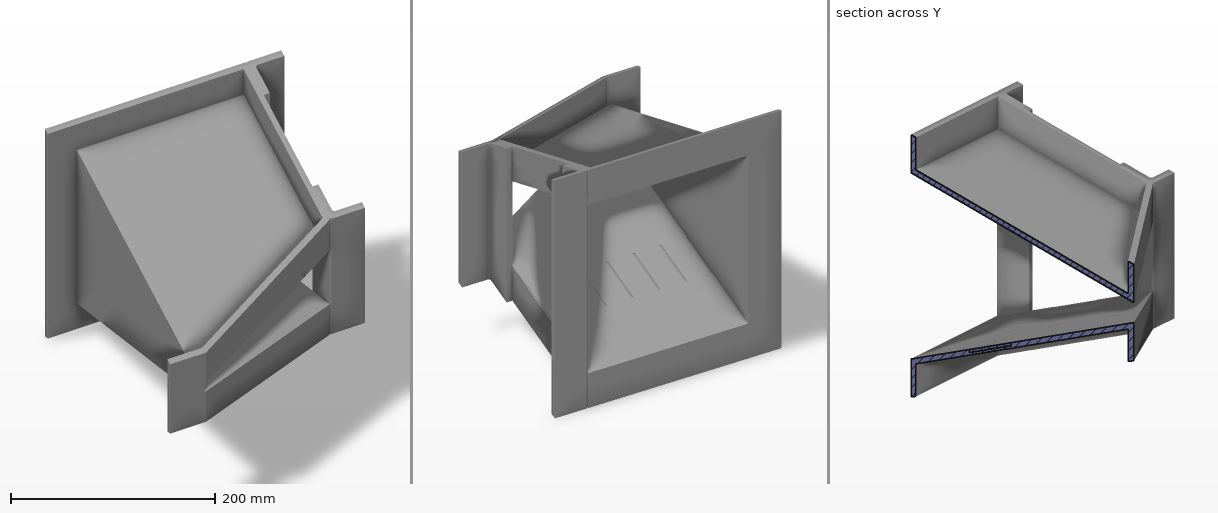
import cadquery as cq
import math

LENGTH = 274.3
WIDTH = 259.0
INLET_HEIGHT = 272.5
OUTLET_HEIGHT = 90.8
SLOPE = (INLET_HEIGHT - OUTLET_HEIGHT) / 2 / LENGTH

SHEET = 6.0
SHEET_RISE = SHEET * math.hypot(1, SLOPE)

ANGLE_LEG = 38.5
BACK_Y = WIDTH - ANGLE_LEG
BACK_INNER_Y = BACK_Y - SHEET
BACK_LENGTH = 183.2
FRONT_Y = 31.8
FRONT_INNER_Y = FRONT_Y + SHEET
BEND_Y = 39.5

INLET_HALF_OPENING = 96.3

ANGLE_SHEET = 6.5
ANGLE_FILLET = 2.5

RIFFLE_START = 68.3
RIFFLE_END = 117.0
RIFFLE_DEPTH = SHEET_RISE / 2
RIFFLE_PADS = 6
GROOVE_WIDTH = 2.5
GROOVE_DEPTH = 0.8


def wedge(half_height, y_start, y_end):
    """Wedge-shaped block over the full length whose half height at X = 0 is given."""
    end_height = half_height - SLOPE * LENGTH
    profile = [
        (0, -half_height),
        (LENGTH, -end_height),
        (LENGTH, end_height),
        (0, half_height),
    ]
    return cq.Workplane("XZ", origin=(0, y_start, 0)).polyline(profile).close().extrude(y_start - y_end)


def upright(points):
    """Vertical prism on a plan outline, tall enough for the whole part."""
    return cq.Workplane("XY").polyline(points).close().extrude(INLET_HEIGHT / 2, both=True)


def envelope():
    return wedge(INLET_HEIGHT / 2, 0, WIDTH)


def floor_slab(x_start, x_end, y_start, y_end, depth):
    """Slab directly below the sloping floor surface."""
    top_start = SLOPE * x_start - INLET_HALF_OPENING
    top_end = SLOPE * x_end - INLET_HALF_OPENING
    profile = [
        (x_start, top_start),
        (x_end, top_end),
        (x_end, top_end - depth),
        (x_start, top_start - depth),
    ]
    return cq.Workplane("XZ", origin=(0, y_start, 0)).polyline(profile).close().extrude(y_start - y_end)


def riffle_blank():
    return floor_slab(RIFFLE_START, RIFFLE_END, FRONT_INNER_Y, BACK_Y, RIFFLE_DEPTH)


def make_chute():
    slant_x = LENGTH - BACK_LENGTH
    slant_y = BACK_Y - BEND_Y
    slant_length = math.hypot(slant_x, slant_y)
    inner_corner_x = BACK_LENGTH - SHEET * (slant_length - slant_x) / slant_y
    inner_bend_y = BEND_Y - SHEET * (slant_length - slant_y) / slant_x

    walls = upright([
        (0, 0),
        (SHEET, 0),
        (SHEET, BACK_INNER_Y),
        (inner_corner_x, BACK_INNER_Y),
        (LENGTH - SHEET, inner_bend_y),
        (LENGTH - SHEET, 0),
        (LENGTH, 0),
        (LENGTH, BEND_Y),
        (BACK_LENGTH, BACK_Y),
        (0, BACK_Y),
    ]).intersect(envelope())

    plan = upright([
        (0, FRONT_Y),
        (LENGTH, FRONT_Y),
        (LENGTH, BEND_Y),
        (BACK_LENGTH, BACK_Y),
        (0, BACK_Y),
    ])
    duct = wedge(INLET_HALF_OPENING + SHEET_RISE, FRONT_Y, BACK_Y).intersect(plan)

    channel = wedge(INLET_HALF_OPENING, FRONT_INNER_Y, BACK_Y)
    return walls.union(duct).cut(channel).cut(riffle_blank())


def make_angle(corner_x, direction):
    """Angle on the back wall; its foot points along X in the given direction."""
    foot_end = corner_x + direction * ANGLE_LEG
    leg_inner = corner_x + direction * ANGLE_SHEET
    foot_top = BACK_Y + ANGLE_SHEET
    bar = upright([
        (corner_x, BACK_Y),
        (foot_end, BACK_Y),
        (foot_end, foot_top),
        (leg_inner, foot_top),
        (leg_inner, WIDTH),
        (corner_x, WIDTH),
    ])
    for x, y in [(corner_x, BACK_Y), (leg_inner, foot_top)]:
        bar = bar.edges(cq.selectors.NearestToPointSelector((x, y, 0))).fillet(ANGLE_FILLET)
    return bar.intersect(envelope())


def make_riffle_plate():
    plate = riffle_blank()
    pitch = (BACK_Y - FRONT_INNER_Y) / RIFFLE_PADS
    for index in range(RIFFLE_PADS + 1):
        center_y = FRONT_INNER_Y + index * pitch
        groove = floor_slab(
            RIFFLE_START, RIFFLE_END, center_y - GROOVE_WIDTH / 2, center_y + GROOVE_WIDTH / 2, GROOVE_DEPTH
        )
        plate = plate.cut(groove)
    return plate


chute = make_chute()
riffle_plate = make_riffle_plate()
angles = [make_angle(x, direction) for x, direction in [(0, 1), (BACK_LENGTH, -1)]]

result = cq.Compound.makeCompound([
    *chute.solids().vals(),
    *riffle_plate.solids().vals(),
    *[angle.solids().val() for angle in angles],
])